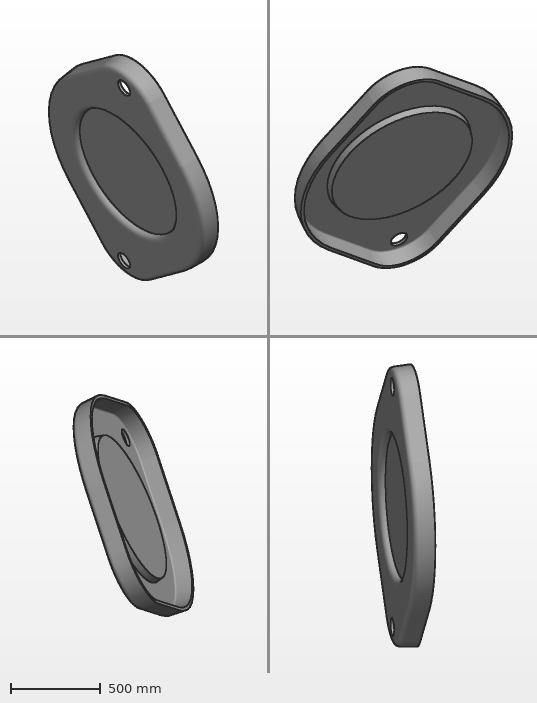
import cadquery as cq
import math

height = 1650.0
width = 1297.0
depth = 120.0
tip_radius = 272.0
draft_angle = 4.0
front_fillet = 30.0
wall = 20.0

recess_radius = 420.0
recess_depth = 40.0
recess_draft = 15.0
recess_lip_fillet = 33.0

hole_diameter = 100.0
hole_spacing = 1432.0

side_radius = width / 2
tip_center = height / 2 - tip_radius
front_y = -depth / 2
back_y = depth / 2


def outline(inset, y):
    """Rounded diamond: two side arcs and two tip arcs joined by tangent lines."""
    side = side_radius - inset
    tip = tip_radius - inset
    angle = math.asin((side_radius - tip_radius) / tip_center)
    side_x = side * math.cos(angle)
    side_z = side * math.sin(angle)
    tip_x = tip * math.cos(angle)
    tip_z = tip_center + tip * math.sin(angle)
    tip_end = tip_center + tip
    return (
        cq.Workplane("XZ", origin=(0, y, 0))
        .moveTo(side_x, -side_z)
        .threePointArc((side, 0), (side_x, side_z))
        .lineTo(tip_x, tip_z)
        .threePointArc((0, tip_end), (-tip_x, tip_z))
        .lineTo(-side_x, side_z)
        .threePointArc((-side, 0), (-side_x, -side_z))
        .lineTo(-tip_x, -tip_z)
        .threePointArc((0, -tip_end), (tip_x, -tip_z))
        .close()
    )


def recess_plug(radius, y, length):
    """Tapered round plug that narrows toward +Y, starting at the given y."""
    return (
        cq.Workplane("XZ", origin=(0, y, 0))
        .circle(radius)
        .extrude(-length, taper=recess_draft)
    )


body = outline(0, back_y).extrude(depth, taper=draft_angle)
body = body.faces("<Y").edges().fillet(front_fillet)
cavity_depth = depth - wall
cavity = outline(wall, back_y).extrude(cavity_depth, taper=draft_angle)
cavity = cavity.faces("<Y").edges().fillet(front_fillet - wall)
body = body.cut(cavity)

backing = recess_plug(recess_radius + wall, front_y + wall, recess_depth)
body = body.union(backing)
body = body.cut(recess_plug(recess_radius, front_y, recess_depth))
lip = cq.selectors.BoxSelector(
    (-recess_radius - wall, front_y - wall, -recess_radius - wall),
    (recess_radius + wall, front_y + wall / 2, recess_radius + wall),
)
body = body.edges(lip).fillet(recess_lip_fillet)

holes = (
    cq.Workplane("XZ", origin=(0, back_y, 0))
    .pushPoints([(0, hole_spacing / 2), (0, -hole_spacing / 2)])
    .circle(hole_diameter / 2)
    .extrude(depth)
)
result = body.cut(holes)